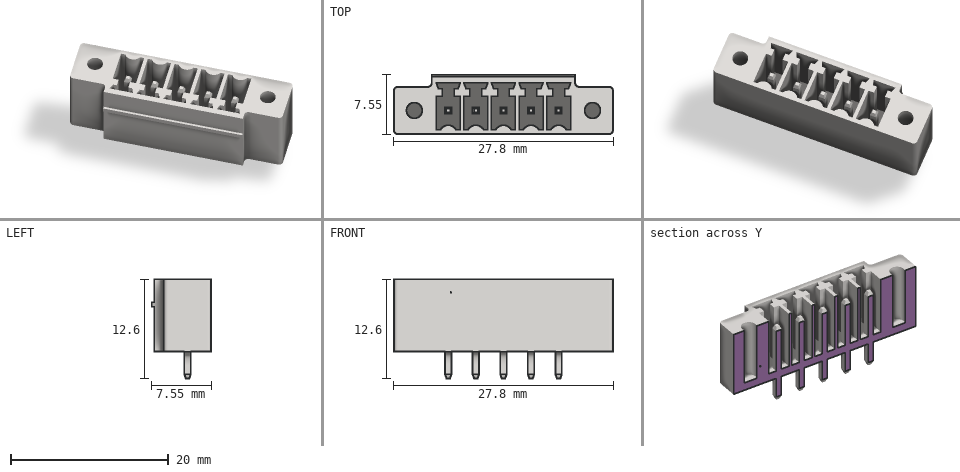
import cadquery as cq

pole_count = 5
pitch = 3.5
length = 27.8
flange_depth = 6.0
housing_depth = 7.25
housing_height = 9.2
rear_block_length = 18.2
corner_radius = 0.5

rib_projection = 0.3
rib_height = 0.6
rib_bottom = 5.7

cavity_floor = 1.2
cavity_width = 3.04
cavity_front = 0.55
shoulder_y = 4.83
neck_width = 1.5
neck_end_y = 5.77
keyway_inner_width = 2.5
keyway_end_y = 6.5
bump_width = 1.96
bump_height = 0.58

pin_size = 0.85
pin_y = 3.0
pin_tip_size = 0.45
pin_taper = 0.55
pin_below = 3.4
pin_top = 7.8

insert_spacing = 22.6
insert_y = 3.0
insert_diameter = 4.0
insert_bore = 2.0
insert_floor = 1.2

pole_positions = [(i - (pole_count - 1) / 2) * pitch for i in range(pole_count)]
insert_positions = [(-insert_spacing / 2, insert_y), (insert_spacing / 2, insert_y)]


def make_housing():
    """Flanged block with rounded flange corners and a deeper middle section with a coding rib."""
    flange = (
        cq.Workplane("XY")
        .box(length, flange_depth, housing_height, centered=(True, False, False))
    )
    rear_block = (
        cq.Workplane("XY")
        .box(rear_block_length, housing_depth, housing_height, centered=(True, False, False))
    )
    rib = (
        cq.Workplane("XY", origin=(0, housing_depth, rib_bottom))
        .box(rear_block_length, rib_projection, rib_height, centered=(True, False, False))
    )
    flange_corners = cq.selectors.BoxSelector(
        (-length / 2 - corner_radius, -corner_radius, 0),
        (length / 2 + corner_radius, flange_depth + corner_radius, housing_height),
    )
    block = flange.union(rear_block).edges("|Z").edges(flange_corners).fillet(corner_radius)
    return block.union(rib)


def make_cavity(x):
    """Plug cavity with a dovetail keyway at the rear and a rounded bump at the front."""
    half = cavity_width / 2
    half_neck = neck_width / 2
    half_keyway = keyway_inner_width / 2
    half_bump = bump_width / 2
    return (
        cq.Workplane("XY", origin=(x, 0, cavity_floor))
        .moveTo(-half, cavity_front)
        .lineTo(-half_bump, cavity_front)
        .threePointArc((0, cavity_front + bump_height), (half_bump, cavity_front))
        .lineTo(half, cavity_front)
        .lineTo(half, shoulder_y)
        .lineTo(half_neck, shoulder_y)
        .lineTo(half_neck, neck_end_y)
        .lineTo(half_keyway, neck_end_y)
        .lineTo(half, keyway_end_y)
        .lineTo(-half, keyway_end_y)
        .lineTo(-half_keyway, neck_end_y)
        .lineTo(-half_neck, neck_end_y)
        .lineTo(-half_neck, shoulder_y)
        .lineTo(-half, shoulder_y)
        .close()
        .extrude(housing_height - cavity_floor)
    )


def make_pin(x):
    """Square pin with a tapered tip at each end."""
    shank_bottom = pin_taper - pin_below
    shank_top = pin_top - pin_taper
    pin = (
        cq.Workplane("XY", origin=(x, pin_y, shank_bottom))
        .rect(pin_size, pin_size)
        .extrude(shank_top - shank_bottom)
    )
    for shank_end, tip_end in ((shank_bottom, -pin_below), (shank_top, pin_top)):
        tip = (
            cq.Workplane("XY", origin=(x, pin_y, shank_end))
            .rect(pin_size, pin_size)
            .workplane(offset=tip_end - shank_end)
            .rect(pin_tip_size, pin_tip_size)
            .loft(ruled=True)
        )
        pin = pin.union(tip)
    return pin


def make_insert_cylinders(diameter):
    """Upright cylinders at both insert positions, open at the top of the housing."""
    return (
        cq.Workplane("XY", origin=(0, 0, insert_floor))
        .pushPoints(insert_positions)
        .circle(diameter / 2)
        .extrude(housing_height - insert_floor)
    )


result = make_housing()
for pole_x in pole_positions:
    result = result.cut(make_cavity(pole_x)).union(make_pin(pole_x))

insert_bodies = make_insert_cylinders(insert_diameter)
insert_sleeves = insert_bodies.cut(make_insert_cylinders(insert_bore))
result = result.cut(insert_bodies).union(insert_sleeves, clean=False)